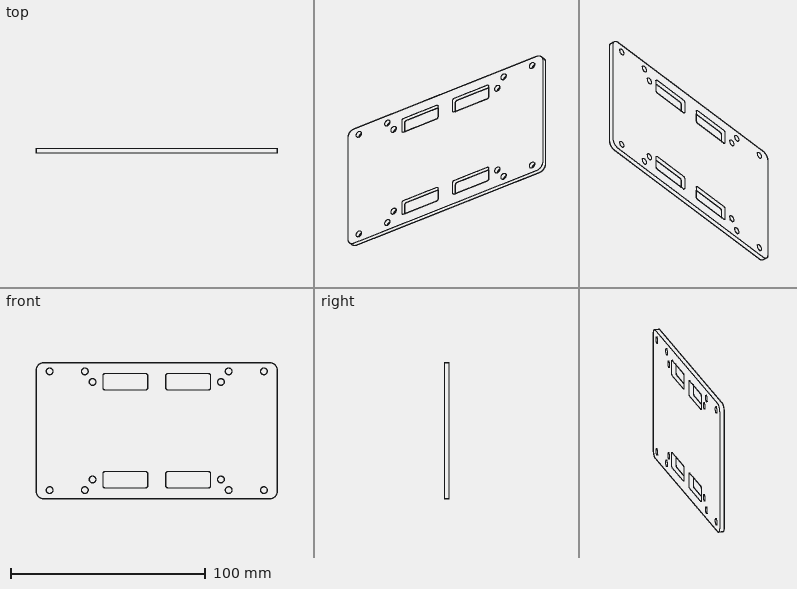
import cadquery as cq

LENGTH = 124.0
HEIGHT = 70.0
THICKNESS = 2.5
CORNER_RADIUS = 4.0

HOLE_DIAMETER = 3.3
EDGE_HOLE_Z = 30.5
OUTER_HOLE_X = 55.0
MIDDLE_HOLE_X = 37.0
INNER_HOLE_X = 33.0
INNER_HOLE_Z = 25.0

WINDOW_LENGTH = 23.0
WINDOW_HEIGHT = 8.3
WINDOW_RADIUS = 1.0
WINDOW_X = 16.1
WINDOW_Z = 25.2


def mirrored(x, z):
    """Place a point in all four quadrants of the plate."""
    return [(side * x, level * z) for side in (-1, 1) for level in (-1, 1)]


def rounded_plate(length, height, radius):
    """Plate of full thickness in the XZ plane, centred on the origin."""
    return cq.Workplane("XZ").box(length, height, THICKNESS).edges("|Y").fillet(radius)


def hole_cutters():
    centres = (
        mirrored(OUTER_HOLE_X, EDGE_HOLE_Z)
        + mirrored(MIDDLE_HOLE_X, EDGE_HOLE_Z)
        + mirrored(INNER_HOLE_X, INNER_HOLE_Z)
    )
    return (
        cq.Workplane("XZ")
        .pushPoints(centres)
        .circle(HOLE_DIAMETER / 2)
        .extrude(THICKNESS / 2, both=True)
    )


result = rounded_plate(LENGTH, HEIGHT, CORNER_RADIUS).cut(hole_cutters())

window = rounded_plate(WINDOW_LENGTH, WINDOW_HEIGHT, WINDOW_RADIUS)
for window_x, window_z in mirrored(WINDOW_X, WINDOW_Z):
    result = result.cut(window.translate((window_x, 0, window_z)))